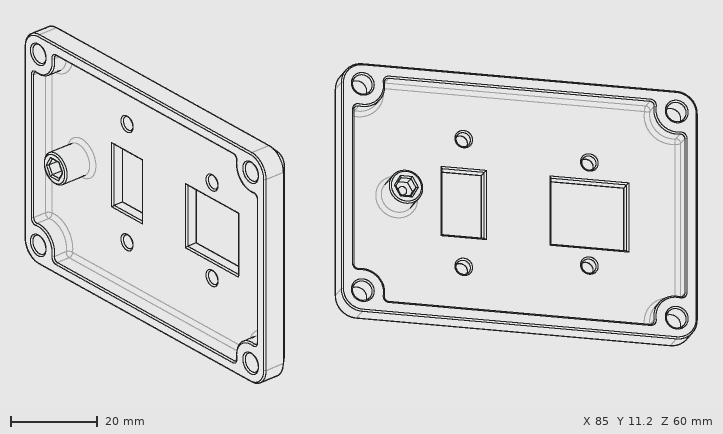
import cadquery as cq
import math

LENGTH = 85.0
HEIGHT = 60.0
THICKNESS = 8.0
CORNER_RADIUS = 5.0
BACK_CHAMFER = 2.4
EDGE_BREAK = 0.4

WALL = 3.0
FLOOR = 3.0
CAVITY_DEPTH = THICKNESS - FLOOR
CAVITY_FILLET = 1.0

POST_INSET = 5.0
POST_RADIUS = 5.35
POST_HOLE = 4.7
POST_HOLE_DEPTH = 5.0

OPENING_HEIGHT = 16.0
SCREW_HOLE = 3.4
NARROW_OPENING_X = -12.0
NARROW_OPENING_WIDTH = 10.0
NARROW_SCREW_OFFSET = 15.5
WIDE_OPENING_X = 18.0
WIDE_OPENING_WIDTH = 18.0
WIDE_SCREW_OFFSET = 12.5

BOSS_X = -28.0
BOSS_DIAMETER = 8.0
BOSS_PROJECTION = 3.2
BOSS_FILLET = 1.0
SOCKET_FLATS = 4.2
SOCKET_DEPTH = 3.4
PILOT_HOLE = 2.0


def section(depth):
    """Work plane parallel to the rim at Y = depth, with normal +Y and local axes +X and -Z."""
    return cq.Workplane(cq.Plane(origin=(0, depth, 0), xDir=(1, 0, 0), normal=(0, 1, 0)))


def break_inner_edges(body, depth, x=0.0):
    """Chamfer every hole mouth in the flat face at Y = depth nearest to the given X."""
    face = body.faces(cq.selectors.NearestToPointSelector((x, depth, 0))).val()
    mouths = [edge for wire in face.innerWires() for edge in wire.Edges()]
    return body.newObject(mouths).chamfer(EDGE_BREAK)


def make_plate():
    plate = section(0).rect(LENGTH, HEIGHT).extrude(THICKNESS)
    plate = plate.edges("|Y").fillet(CORNER_RADIUS)
    plate = plate.faces(">Y").edges().chamfer(BACK_CHAMFER)
    return plate.faces("<Y").edges().chamfer(EDGE_BREAK)


def post_axes():
    """One work plane point on the axis of each corner post."""
    spacing_x = LENGTH - 2 * POST_INSET
    spacing_z = HEIGHT - 2 * POST_INSET
    return section(0).rect(spacing_x, spacing_z, forConstruction=True).vertices()


def make_cavity():
    """Rectangular cutter that leaves a round post standing in each corner."""
    pocket = section(0).rect(LENGTH - 2 * WALL, HEIGHT - 2 * WALL).extrude(CAVITY_DEPTH)
    posts = post_axes().circle(POST_RADIUS).extrude(CAVITY_DEPTH)
    cavity = pocket.cut(posts)
    cavity = cavity.faces("<X or >X or <Z or >Z").edges("|Y").fillet(CAVITY_FILLET)
    return cavity.faces(">Y").edges().fillet(CAVITY_FILLET)


def make_post_holes():
    return post_axes().circle(POST_HOLE / 2).extrude(POST_HOLE_DEPTH)


def make_opening(x, width, screw_offset):
    """Cutter for a rectangular opening and its pair of screw holes."""
    start = section(CAVITY_DEPTH).center(x, 0)
    window = start.rect(width, OPENING_HEIGHT).extrude(FLOOR)
    screws = start.pushPoints([(0, -screw_offset), (0, screw_offset)]).circle(SCREW_HOLE / 2).extrude(FLOOR)
    return window.union(screws)


def add_boss(body):
    length = CAVITY_DEPTH + BOSS_PROJECTION
    start = section(-BOSS_PROJECTION).center(BOSS_X, 0)
    boss = start.circle(BOSS_DIAMETER / 2).extrude(length)
    boss = boss.faces("<Y").edges().chamfer(EDGE_BREAK)
    body = body.union(boss)
    root = cq.selectors.NearestToPointSelector((BOSS_X, CAVITY_DEPTH, 0))
    body = body.edges(root).fillet(BOSS_FILLET)

    socket_corners = SOCKET_FLATS / math.cos(math.pi / 6)
    socket = start.polygon(6, socket_corners).extrude(SOCKET_DEPTH)
    pilot = start.circle(PILOT_HOLE / 2).extrude(BOSS_PROJECTION + THICKNESS)
    body = body.cut(socket).cut(pilot)
    return break_inner_edges(body, -BOSS_PROJECTION, BOSS_X)


body = make_plate().cut(make_cavity()).cut(make_post_holes())
body = break_inner_edges(body, 0)
body = body.cut(make_opening(NARROW_OPENING_X, NARROW_OPENING_WIDTH, NARROW_SCREW_OFFSET))
body = body.cut(make_opening(WIDE_OPENING_X, WIDE_OPENING_WIDTH, WIDE_SCREW_OFFSET))
body = break_inner_edges(body, CAVITY_DEPTH)
result = add_boss(body)